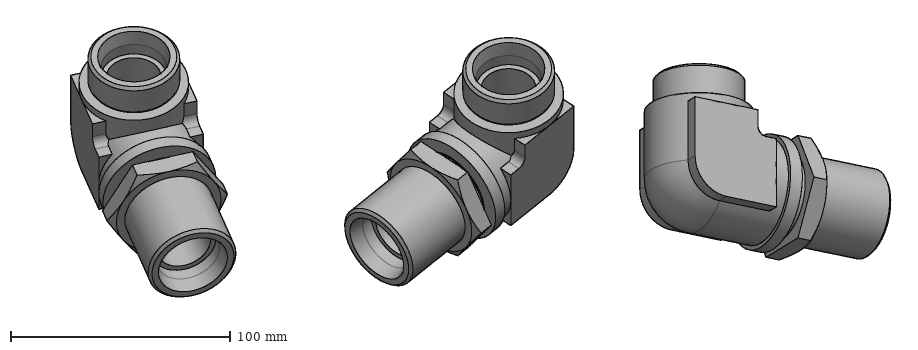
import cadquery as cq
import math

body_diameter = 50.0
body_radius = body_diameter / 2
shoulder_height = 32.8
collar_diameter = 54.0
overall_length = 115.0
overall_height = 76.0
side_port_end = overall_length - body_radius
top_port_end = overall_height - collar_diameter / 2

thread_diameter = 42.0
thread_radius = thread_diameter / 2
end_chamfer_length = 1.4
end_chamfer_depth = 1.4
undercut_depth = 0.9
undercut_length = 0.5
undercut_taper = 0.9

collar_start = 32.7
collar_end = 38.9
nut_start = 43.9
nut_end = 53.0
nut_across_flats = body_diameter
nut_chamfer_angle = 30

bore_diameter = 25.0
socket_diameter = 30.0
mouth_diameter = 33.0
mouth_taper_angle = 12
socket_depth = 13.0

pad_offset = 16.7
pad_end = 26.3
pad_top = 28.9
pad_notch_fillet = 4.1


def port_cylinder(radius, start, end):
    """Cylinder along +Z between two heights."""
    return cq.Workplane("XY").workplane(offset=start).circle(radius).extrude(end - start)


def to_side(shape):
    """Turn a shape built along +Z so that it points along +X."""
    return shape.rotate((0, 0, 0), (0, 1, 0), 90)


def spigot(start, end):
    """Threaded end with an undercut at its root and a chamfer at its tip."""
    undercut_radius = thread_radius - undercut_depth
    return (
        cq.Workplane("XZ")
        .moveTo(0, 0)
        .lineTo(undercut_radius, 0)
        .lineTo(undercut_radius, start + undercut_length)
        .lineTo(thread_radius, start + undercut_length + undercut_taper)
        .lineTo(thread_radius, end - end_chamfer_length)
        .lineTo(thread_radius - end_chamfer_depth, end)
        .lineTo(0, end)
        .close()
        .revolve(360, (0, 0, 0), (0, 1, 0))
    )


def passage(end):
    """Bore from the elbow centre, opening into a socket with a tapered mouth."""
    bore_radius = bore_diameter / 2
    socket_radius = socket_diameter / 2
    mouth_radius = mouth_diameter / 2
    taper_length = (mouth_radius - socket_radius) / math.tan(math.radians(mouth_taper_angle))
    return (
        cq.Workplane("XZ")
        .moveTo(0, 0)
        .lineTo(bore_radius, 0)
        .lineTo(bore_radius, end - socket_depth)
        .lineTo(socket_radius, end - socket_depth)
        .lineTo(socket_radius, end - taper_length)
        .lineTo(mouth_radius, end)
        .lineTo(0, end)
        .close()
        .revolve(360, (0, 0, 0), (0, 1, 0))
    )


def wrench_pads():
    """Slab across the elbow with a rounded heel and a notch at the inner corner."""
    slab = (
        cq.Workplane("XZ")
        .moveTo(0, -pad_offset)
        .lineTo(pad_end, -pad_offset)
        .lineTo(pad_end, pad_offset)
        .lineTo(pad_offset + pad_notch_fillet, pad_offset)
        .radiusArc((pad_offset, pad_offset + pad_notch_fillet), pad_notch_fillet)
        .lineTo(pad_offset, pad_top)
        .lineTo(-pad_offset, pad_top)
        .lineTo(-pad_offset, 0)
        .radiusArc((0, -pad_offset), -pad_offset)
        .close()
    )
    return slab.extrude(body_radius, both=True)


def locknut():
    """Hexagonal nut, flats facing up and down, with a conical chamfer on its outer face."""
    corner_radius = nut_across_flats / 2 / math.cos(math.radians(30))
    flat_radius = nut_across_flats / 2
    chamfer_length = (corner_radius - flat_radius) * math.tan(math.radians(nut_chamfer_angle))
    hexagon = (
        cq.Workplane("XY")
        .workplane(offset=nut_start)
        .polygon(6, 2 * corner_radius)
        .extrude(nut_end - nut_start)
        .rotate((0, 0, 0), (0, 0, 1), 90)
    )
    envelope = (
        cq.Workplane("XZ")
        .moveTo(0, nut_start)
        .lineTo(corner_radius, nut_start)
        .lineTo(corner_radius, nut_end - chamfer_length)
        .lineTo(flat_radius, nut_end)
        .lineTo(0, nut_end)
        .close()
        .revolve(360, (0, 0, 0), (0, 1, 0))
    )
    return hexagon.intersect(envelope)


elbow = (
    port_cylinder(body_radius, 0, shoulder_height)
    .union(to_side(port_cylinder(body_radius, 0, collar_start)))
    .union(cq.Workplane("XY").sphere(body_radius))
    .union(wrench_pads())
)

outside = (
    elbow
    .union(spigot(shoulder_height, top_port_end))
    .union(to_side(spigot(collar_end, side_port_end)))
    .union(to_side(port_cylinder(collar_diameter / 2, collar_start, collar_end)))
    .union(to_side(locknut()))
)

result = (
    outside
    .cut(passage(top_port_end))
    .cut(to_side(passage(side_port_end)))
    .cut(cq.Workplane("XY").sphere(bore_diameter / 2))
)